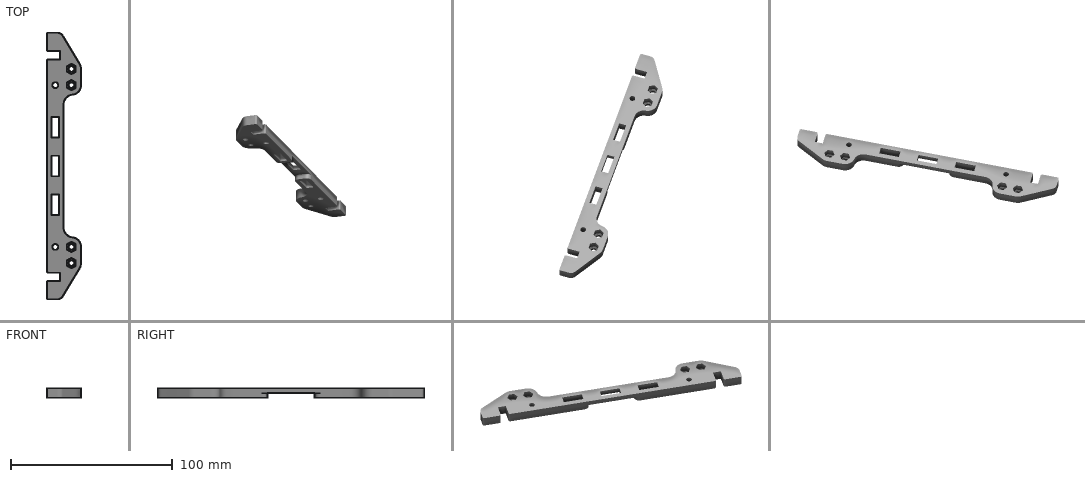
import cadquery as cq
import math

LENGTH = 165.0
THICKNESS = 6.0
HALF_LENGTH = LENGTH / 2
ENDS = (1, -1)

NECK_CENTER_X = 5.2
NECK_WIDTH = 2 * NECK_CENTER_X
HOLE_SPACING = 10.0
BOLT_X = NECK_CENTER_X + HOLE_SPACING
INNER_BOLT_Y = 50.0
OUTER_BOLT_Y = INNER_BOLT_Y + HOLE_SPACING

EAR_RADIUS = 6.0
EAR_EDGE_X = BOLT_X + EAR_RADIUS
NECK_BLEND_RADIUS = 6.0
TIP_RADIUS = 4.0
TIP_CENTER_X = 6.4
TIP_CENTER_Y = HALF_LENGTH - TIP_RADIUS

SLOT_WIDTH = 5.0
SLOT_DEPTH = 8.0
SLOT_CENTER_Y = 68.5
CORNER_RADIUS = 1.0

BOLT_DIAMETER = 3.4
PIN_DIAMETER = 3.5
NUT_ACROSS_FLATS = 5.6
NUT_DEPTH = 4.0
BRIDGE_STEP = 0.2

WINDOW_WIDTH = 4.5
WINDOW_LENGTH = 12.5
WINDOW_PITCH = 24.0

GAP_LENGTH = 29.0
GAP_DEPTH = 3.0
LEG_END_RADIUS = 3.3


def on_circle(x, y, radius, angle):
    """Point on a circle at an angle in radians from +X."""
    return (x + radius * math.cos(angle), y + radius * math.sin(angle))


def half_plate():
    """The +Y half of the plate, its outline built from tangent lines and arcs."""
    run = BOLT_X - TIP_CENTER_X
    rise = TIP_CENTER_Y - OUTER_BOLT_Y
    slope_angle = math.atan2(run, rise) + math.asin((EAR_RADIUS - TIP_RADIUS) / math.hypot(run, rise))
    tip_mid_angle = (slope_angle + math.pi / 2) / 2

    blend_x = NECK_WIDTH + NECK_BLEND_RADIUS
    centers_distance = EAR_RADIUS + NECK_BLEND_RADIUS
    blend_y = INNER_BOLT_Y - math.sqrt(centers_distance**2 - (blend_x - BOLT_X) ** 2)
    touch_angle = math.atan2(blend_y - INNER_BOLT_Y, blend_x - BOLT_X)
    blend_mid_angle = (touch_angle + math.pi) / 2 + math.pi / 2

    return (
        cq.Workplane("XY")
        .moveTo(0, 0)
        .lineTo(0, HALF_LENGTH)
        .lineTo(TIP_CENTER_X, HALF_LENGTH)
        .threePointArc(
            on_circle(TIP_CENTER_X, TIP_CENTER_Y, TIP_RADIUS, tip_mid_angle),
            on_circle(TIP_CENTER_X, TIP_CENTER_Y, TIP_RADIUS, slope_angle),
        )
        .lineTo(*on_circle(BOLT_X, OUTER_BOLT_Y, EAR_RADIUS, slope_angle))
        .threePointArc(
            on_circle(BOLT_X, OUTER_BOLT_Y, EAR_RADIUS, slope_angle / 2),
            (EAR_EDGE_X, OUTER_BOLT_Y),
        )
        .lineTo(EAR_EDGE_X, INNER_BOLT_Y)
        .threePointArc(
            on_circle(BOLT_X, INNER_BOLT_Y, EAR_RADIUS, touch_angle / 2),
            on_circle(BOLT_X, INNER_BOLT_Y, EAR_RADIUS, touch_angle),
        )
        .threePointArc(
            on_circle(blend_x, blend_y, NECK_BLEND_RADIUS, blend_mid_angle),
            (NECK_WIDTH, blend_y),
        )
        .lineTo(NECK_WIDTH, 0)
        .close()
        .extrude(THICKNESS)
    )


def edge_slots():
    """Slots open to the straight edge, one near each end."""
    return (
        cq.Workplane("XY")
        .pushPoints([(0, end * SLOT_CENTER_Y) for end in ENDS])
        .rect(2 * SLOT_DEPTH, SLOT_WIDTH)
        .extrude(THICKNESS)
    )


def pin_holes():
    """Plain through holes on the neck centre line."""
    return (
        cq.Workplane("XY")
        .pushPoints([(NECK_CENTER_X, end * INNER_BOLT_Y) for end in ENDS])
        .circle(PIN_DIAMETER / 2)
        .extrude(THICKNESS)
    )


def bolt_holes():
    """Bolt holes with nut pockets in the top face.

    Each hexagonal pocket has corners pointing along Y. Below it a strip as wide as the bolt
    and then a square step down to the round hole.
    """
    places = [(BOLT_X, end * y) for end in ENDS for y in (INNER_BOLT_Y, OUTER_BOLT_Y)]
    hexagon = cq.Sketch().regularPolygon(NUT_ACROSS_FLATS / math.sqrt(3), 6)
    square = cq.Sketch().rect(BOLT_DIAMETER, BOLT_DIAMETER)
    strip = cq.Sketch().rect(BOLT_DIAMETER, NUT_ACROSS_FLATS * 2).face(hexagon, mode="i")

    holes = cq.Workplane("XY").pushPoints(places).circle(BOLT_DIAMETER / 2).extrude(THICKNESS)
    for profile, depth in (
        (hexagon, NUT_DEPTH),
        (strip, NUT_DEPTH + BRIDGE_STEP),
        (square, NUT_DEPTH + 2 * BRIDGE_STEP),
    ):
        floor = cq.Workplane("XY", origin=(0, 0, THICKNESS - depth))
        holes = holes.union(floor.pushPoints(places).placeSketch(profile).extrude(depth))
    return holes


def windows():
    """Three rectangular through windows along the neck."""
    return (
        cq.Workplane("XY")
        .pushPoints([(NECK_CENTER_X, step * WINDOW_PITCH) for step in (-1, 0, 1)])
        .rect(WINDOW_WIDTH, WINDOW_LENGTH)
        .extrude(THICKNESS)
    )


def underside_gap():
    """Gap that thins the middle of the neck from below, leaving convex corners on the legs."""
    flare_y = GAP_LENGTH / 2 + LEG_END_RADIUS
    block = cq.Workplane("XY").box(NECK_WIDTH, 2 * flare_y, GAP_DEPTH, centered=(False, True, False))
    leg = cq.Workplane("XY").box(NECK_WIDTH, 2 * LEG_END_RADIUS, GAP_DEPTH, centered=(False, False, False))
    leg = leg.faces("<Y").edges("|Z").fillet(LEG_END_RADIUS)
    for end in ENDS:
        placed = leg if end > 0 else leg.mirror("XZ")
        block = block.cut(placed.translate((0, end * GAP_LENGTH / 2, 0)))
    return block


half = half_plate()
plate = half.union(half.mirror("XZ")).clean()
plate = plate.cut(edge_slots())
plate = plate.faces("<X").edges("|Z").fillet(CORNER_RADIUS)

result = plate.cut(pin_holes()).cut(bolt_holes()).cut(windows()).cut(underside_gap())